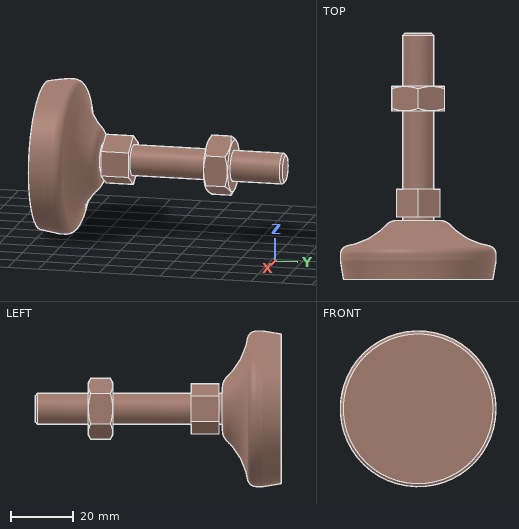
import cadquery as cq
import math


foot_diameter = 50.0
sole_diameter = 48.0
taper_height = 6.0
band_top = 8.0
foot_height = 19.0
shoulder_radius = 3.0
flare_radius = 21.0
crown_radius = 5.0
crown_flat_radius = 6.75

stud_diameter = 10.0
stud_chamfer = 0.8
total_length = 79.0

wrench_flats = 14.0
wrench_start = 20.0
wrench_length = 9.0

nut_flats = 17.0
nut_start = 54.0
nut_thickness = 8.0
nut_chamfer_angle = 30.0
nut_face_diameter = 0.98 * nut_flats

CORNER_RATIO = 1 / math.cos(math.pi / 6)


def point_towards(start, target, distance):
    """Point at the given distance from start, in the direction of target."""
    fraction = distance / math.dist(start, target)
    return tuple(s + (t - s) * fraction for s, t in zip(start, target))


def arc_middle(centre, radius, start, end):
    """Middle point of the short arc from start to end."""
    chord_middle = tuple((s + e) / 2 for s, e in zip(start, end))
    return point_towards(centre, chord_middle, radius)


def flare_centre(shoulder_centre, crown_centre):
    """Centre of the concave arc that touches the shoulder and crown arcs from outside."""
    to_shoulder = flare_radius + shoulder_radius
    to_crown = flare_radius + crown_radius
    spacing = math.dist(shoulder_centre, crown_centre)
    along = (to_shoulder**2 - to_crown**2 + spacing**2) / (2 * spacing)
    offset = math.sqrt(to_shoulder**2 - along**2)
    direction_x = (crown_centre[0] - shoulder_centre[0]) / spacing
    direction_y = (crown_centre[1] - shoulder_centre[1]) / spacing
    return (
        shoulder_centre[0] + along * direction_x + offset * direction_y,
        shoulder_centre[1] + along * direction_y - offset * direction_x,
    )


def make_foot():
    foot_radius = foot_diameter / 2
    shoulder_centre = (foot_radius - shoulder_radius, band_top)
    crown_centre = (crown_flat_radius, foot_height - crown_radius)
    sweep_centre = flare_centre(shoulder_centre, crown_centre)

    band_end = (foot_radius, band_top)
    shoulder_end = point_towards(shoulder_centre, sweep_centre, shoulder_radius)
    crown_start = point_towards(crown_centre, sweep_centre, crown_radius)
    crown_end = (crown_flat_radius, foot_height)

    profile = (
        cq.Workplane("XY")
        .lineTo(sole_diameter / 2, 0)
        .lineTo(foot_radius, taper_height)
        .lineTo(*band_end)
        .threePointArc(arc_middle(shoulder_centre, shoulder_radius, band_end, shoulder_end), shoulder_end)
        .threePointArc(arc_middle(sweep_centre, flare_radius, shoulder_end, crown_start), crown_start)
        .threePointArc(arc_middle(crown_centre, crown_radius, crown_start, crown_end), crown_end)
        .lineTo(0, foot_height)
        .close()
    )
    return profile.revolve(360, (0, 0, 0), (0, 1, 0))


def plane_at(y):
    """Sketch plane across the axis at height y, facing +Y, with its local X along the part's Z."""
    return cq.Workplane(cq.Plane(origin=(0, y, 0), xDir=(0, 0, 1), normal=(0, 1, 0)))


def make_stud():
    stud = plane_at(0).circle(stud_diameter / 2).extrude(total_length)
    return stud.faces(">Y").chamfer(stud_chamfer)


def make_hexagon(flats, start, length):
    """Hexagonal prism with two corners on the Z direction."""
    return plane_at(start).polygon(6, flats * CORNER_RATIO).extrude(length)


def make_lock_nut():
    face_radius = nut_face_diameter / 2
    corner_radius = nut_flats * CORNER_RATIO / 2
    chamfer_height = (corner_radius - face_radius) * math.tan(math.radians(nut_chamfer_angle))
    nut_end = nut_start + nut_thickness
    envelope = (
        cq.Workplane("XY")
        .moveTo(0, nut_start)
        .lineTo(face_radius, nut_start)
        .lineTo(corner_radius, nut_start + chamfer_height)
        .lineTo(corner_radius, nut_end - chamfer_height)
        .lineTo(face_radius, nut_end)
        .lineTo(0, nut_end)
        .close()
        .revolve(360, (0, 0, 0), (0, 1, 0))
    )
    return make_hexagon(nut_flats, nut_start, nut_thickness).intersect(envelope)


wrench_hexagon = make_hexagon(wrench_flats, wrench_start, wrench_length)
result = make_foot().union(make_stud()).union(wrench_hexagon).union(make_lock_nut())